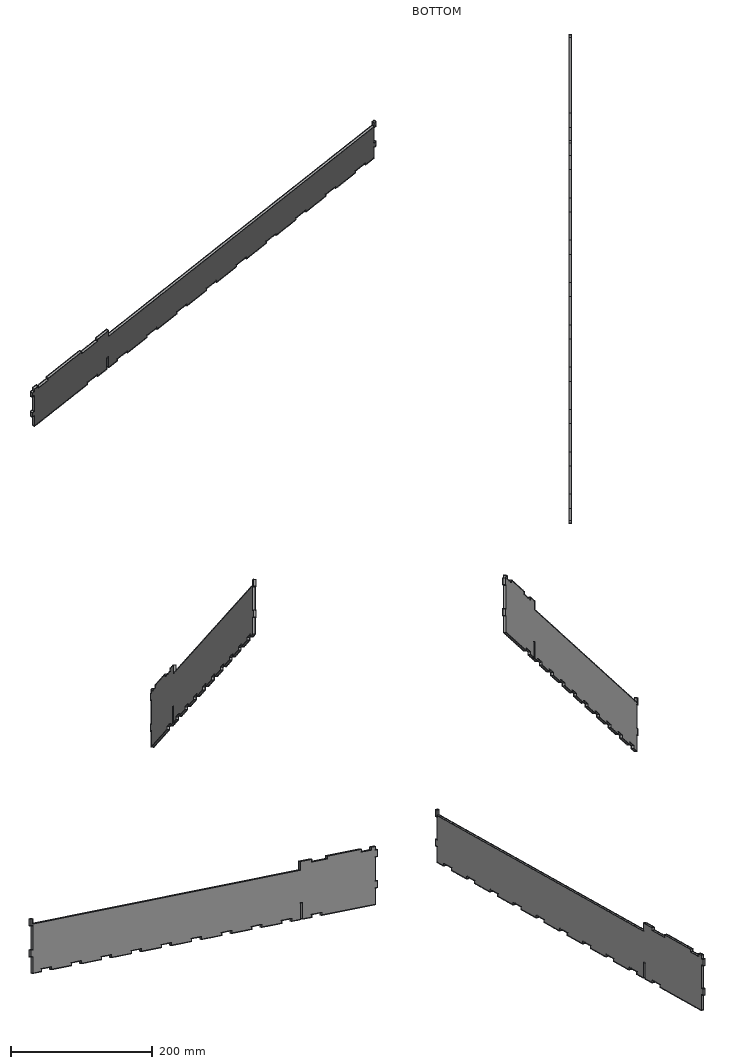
import cadquery as cq

thickness = 4.0
overall_length = 693.0
overall_height = 84.0

tab_reach = thickness
tab_height = 10.0
tab_bottoms = (24.0, 69.0)

panel_length = overall_length - 2 * tab_reach
low_height = 71.5
block_length = 150.0

notch_depth = thickness
notch_width = 20.0
wide_notch_width = 31.5
bottom_notch_count = 10
bottom_notch_pitch = 60.0
first_notch_offset = 27.5
wide_notch_offset = 111.5
narrow_notch_offset = 18.0

slot_width = thickness
slot_height = 24.0

y_max = panel_length / 2
y_min = -y_max
z_bottom = -overall_height / 2
z_top = overall_height / 2
step_y = y_min + block_length


def plate(y_start, y_end, z_start, z_end):
    """Rectangular piece of sheet spanning the given Y and Z ranges."""
    return cq.Workplane("XY").box(thickness, y_end - y_start, z_end - z_start).translate(
        (0, (y_start + y_end) / 2, (z_start + z_end) / 2)
    )


def make_panel():
    low_stretch = plate(y_min, y_max, z_bottom, z_bottom + low_height)
    tall_block = plate(y_min, step_y, z_bottom, z_top)
    return low_stretch.union(tall_block)


def add_side_tabs(body):
    for height in tab_bottoms:
        z_start = z_bottom + height
        z_end = z_start + tab_height
        body = body.union(plate(y_max, y_max + tab_reach, z_start, z_end))
        body = body.union(plate(y_min - tab_reach, y_min, z_start, z_end))
    return body


def cut_bottom_notches(body):
    for index in range(bottom_notch_count):
        centre = y_max - first_notch_offset - index * bottom_notch_pitch
        half = notch_width / 2
        body = body.cut(plate(centre - half, centre + half, z_bottom, z_bottom + notch_depth))
    return body


def cut_top_notches(body):
    top_notches = ((wide_notch_offset, wide_notch_width), (narrow_notch_offset, notch_width))
    for offset, width in top_notches:
        centre = y_min + offset
        body = body.cut(plate(centre - width / 2, centre + width / 2, z_top - notch_depth, z_top))
    return body


def cut_slot(body):
    return body.cut(plate(step_y - slot_width, step_y, z_bottom, z_bottom + slot_height))


result = make_panel()
result = add_side_tabs(result)
result = cut_bottom_notches(result)
result = cut_top_notches(result)
result = cut_slot(result)